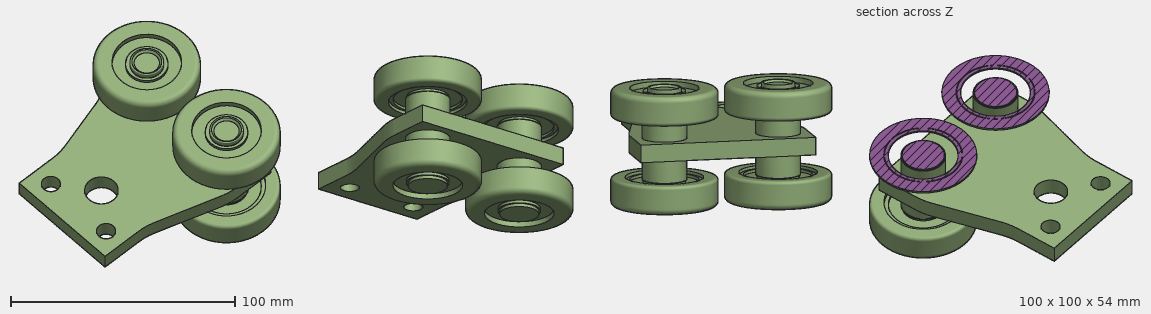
import cadquery as cq

plate_thickness = 8
plate_length = 90
wide_half_width = 40
narrow_half_width = 28
taper_start_y = 25
taper_end_y = 65
taper_blend_radius = 30

main_hole_diameter = 15
main_hole_y = 24
bolt_hole_diameter = 8.5
bolt_hole_x = 18
bolt_hole_y = 10

wheel_diameter = 48
wheel_width = 13
wheel_outer_z = 26.7
wheel_inner_z = wheel_outer_z - wheel_width
outer_round = 2.5
inner_round = 1.5
axle_x = 26
axle_y = 76

bearing_diameter = 35
bearing_outer_z = 25.5
bearing_inner_z = 14.8
shield_diameter = 31
shield_depth = 1.3
shield_outer_z = bearing_outer_z - shield_depth
inner_ring_diameter = 19
bearing_round = 1

bore_diameter = 15
spacer_diameter = 20
axle_end_z = 27
head_diameter = 17.5
dish_rim_diameter = 13.3
dish_depth = 1
axle_end_round = 0.2


def disc(diameter, z_low, z_high):
    """Cylinder on the Z axis between two heights."""
    return cq.Workplane("XY").workplane(offset=z_low).circle(diameter / 2).extrude(z_high - z_low)


def ring(outer_diameter, inner_diameter, z_low, z_high):
    """Tube on the Z axis between two heights."""
    return disc(outer_diameter, z_low, z_high).cut(disc(inner_diameter, z_low, z_high))


def make_plate():
    """Tapered plate with blended shoulders and three holes."""
    plate = (
        cq.Workplane("XY")
        .workplane(offset=-plate_thickness / 2)
        .moveTo(-narrow_half_width, 0)
        .lineTo(narrow_half_width, 0)
        .lineTo(narrow_half_width, taper_start_y)
        .lineTo(wide_half_width, taper_end_y)
        .lineTo(wide_half_width, plate_length)
        .lineTo(-wide_half_width, plate_length)
        .lineTo(-wide_half_width, taper_end_y)
        .lineTo(-narrow_half_width, taper_start_y)
        .close()
        .extrude(plate_thickness)
    )
    shoulders = cq.selectors.BoxSelector(
        (-wide_half_width - 1, taper_start_y - 1, -plate_thickness),
        (wide_half_width + 1, taper_end_y + 1, plate_thickness),
    )
    plate = plate.edges("|Z").edges(shoulders).fillet(taper_blend_radius)
    holes = (
        cq.Workplane("XY")
        .workplane(offset=-plate_thickness / 2)
        .pushPoints([(-bolt_hole_x, bolt_hole_y), (bolt_hole_x, bolt_hole_y)])
        .circle(bolt_hole_diameter / 2)
        .extrude(plate_thickness)
    )
    main_hole = disc(main_hole_diameter, -plate_thickness / 2, plate_thickness / 2)
    return plate.cut(holes).cut(main_hole.translate((0, main_hole_y, 0)))


def make_tyre():
    """Wheel body, open to the bearing diameter on its inner side only."""
    tyre = disc(wheel_diameter, wheel_inner_z, wheel_outer_z)
    tyre = tyre.faces(">Z").edges().fillet(outer_round)
    tyre = tyre.faces("<Z").edges().fillet(inner_round)
    tyre = tyre.cut(disc(bearing_diameter, wheel_inner_z, shield_outer_z))
    return tyre.cut(disc(shield_diameter, shield_outer_z, wheel_outer_z))


def make_bearing():
    """Bearing with rounded rings and a recessed shield on both sides."""
    outer_ring = ring(bearing_diameter, shield_diameter, bearing_inner_z, bearing_outer_z)
    outer_ring = outer_ring.faces("<Z").edges(cq.selectors.RadiusNthSelector(-1)).fillet(bearing_round)
    inner_ring = ring(inner_ring_diameter, bore_diameter, bearing_inner_z, bearing_outer_z)
    inner_ring = inner_ring.faces(">Z").edges(cq.selectors.RadiusNthSelector(0)).fillet(bearing_round)
    shield_low_z = bearing_inner_z + shield_depth
    shield = ring(shield_diameter, inner_ring_diameter, shield_low_z, shield_outer_z)
    return outer_ring.union(inner_ring).union(shield)


def make_axle():
    """Axle with a dished upper end, two spacers and a plain head at the lower end."""
    dish = (
        cq.Workplane("XY")
        .workplane(offset=axle_end_z)
        .circle(dish_rim_diameter / 2)
        .workplane(offset=-dish_depth)
        .circle(dish_rim_diameter / 2 - dish_depth)
        .loft()
    )
    axle = disc(bore_diameter, -axle_end_z, axle_end_z)
    axle = axle.faces(">Z").edges().fillet(axle_end_round).cut(dish)
    spacer = disc(spacer_diameter, -bearing_inner_z, bearing_inner_z)
    head = disc(head_diameter, -axle_end_z, -bearing_outer_z + bearing_round)
    return axle.union(spacer).union(head)


def make_wheel_pair():
    """Two mirrored wheels on one axle."""
    wheel = make_tyre().union(make_bearing())
    return make_axle().union(wheel).union(wheel.mirror("XY"))


wheel_pair = make_wheel_pair()
result = make_plate()
for side in (-1, 1):
    result = result.union(wheel_pair.translate((side * axle_x, axle_y, 0)))